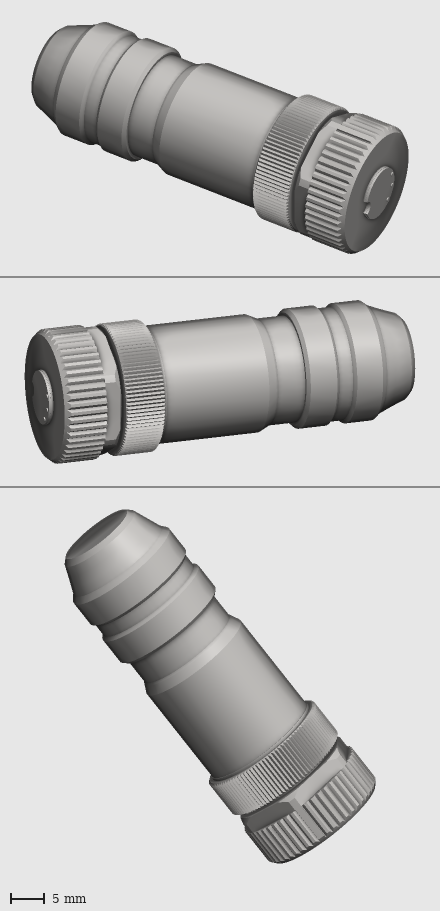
import cadquery as cq
import math

LENGTH = 57.0

END_RADIUS = 5.75
END_CHAMFER = 0.8
END_CHAMFER_RADIUS = 6.55
CONE_END = 5.2
CONE_RADIUS = 8.25
BAND_RADIUS = 9.0
BAND_1_START = 6.1
BAND_1_END = 10.15
BAND_2_START = 13.3
BAND_2_END = 17.45
BAND_CHAMFER = 0.5
GROOVE_RADIUS = 8.5
WAIST_RADIUS = 16.0 / 2
WAIST_END = 22.2
SLEEVE_STEP = 0.35
SLEEVE_STEP_RADIUS = 8.2
SLEEVE_START = 23.9
SLEEVE_RADIUS = 17.7 / 2
LIP_START = 39.95
LIP_RADIUS = 9.0

RING_START = 40.4
RING_END = 46.55
RING_RADIUS = 9.9
RING_CHAMFER_LENGTH = 0.3
RING_CHAMFER_DEPTH = 0.35
RING_TEETH = 100
RING_GROOVE_DEPTH = 0.35

NECK_RADIUS = 15.0 / 2

NUT_START = 47.25
GRIP_START = 49.65
NUT_END = 56.15
NUT_RADIUS = 10.1
HEX_ACROSS_FLATS = 18.0
HEX_CHAMFER_LENGTH = 0.75
HEX_CHAMFER_DEPTH = 0.6
GRIP_CHAMFER_LENGTH = 0.85
GRIP_CHAMFER_DEPTH = 0.7
GRIP_TEETH = 50
GRIP_GROOVE_DEPTH = 0.4
GRIP_RIB_WIDTH = 1.0

INSERT_RADIUS = 4.1
INSERT_STEP = 56.5
INSERT_RELIEF = 0.05
INSERT_END = 56.85
KEYWAY_RADIUS = 1.15

MARK_DIAMETER = 0.7
MARK_CENTRES = [(3.3, 1.3), (2.05, -2.75), (3.3, -0.85)]


def revolve_profile(points):
    """Solid of revolution about X; each point is (x, radius)."""
    outline = [(points[0][0], 0)] + points + [(points[-1][0], 0)]
    return cq.Workplane("XY").polyline(outline).close().revolve(360, (0, 0, 0), (1, 0, 0))


def cylinder(start, end, radius):
    return cq.Workplane("YZ", origin=(start, 0, 0)).circle(radius).extrude(end - start)


def polar(radius, angle):
    return radius * math.cos(angle), radius * math.sin(angle)


def knurled(start, end, radius, teeth, depth):
    """Cylinder with straight V grooves; one groove is at +Y."""
    pitch = 2 * math.pi / teeth
    half_groove = min(depth / radius, pitch / 2)
    points = []
    for i in range(teeth):
        points.append(polar(radius - depth, i * pitch))
        points.append(polar(radius, i * pitch + half_groove))
        if half_groove < pitch / 2:
            points.append(polar(radius, (i + 1) * pitch - half_groove))
    return cq.Workplane("YZ", origin=(start, 0, 0)).polyline(points).close().extrude(end - start)


def rear_shell():
    return revolve_profile([
        (0, END_RADIUS),
        (END_CHAMFER, END_CHAMFER_RADIUS),
        (CONE_END, CONE_RADIUS),
        (BAND_1_START, BAND_RADIUS),
        (BAND_1_END, BAND_RADIUS),
        (BAND_1_END + BAND_CHAMFER, GROOVE_RADIUS),
        (BAND_2_START - BAND_CHAMFER, GROOVE_RADIUS),
        (BAND_2_START, BAND_RADIUS),
        (BAND_2_END, BAND_RADIUS),
        (BAND_2_END + BAND_CHAMFER, BAND_RADIUS - BAND_CHAMFER),
        (BAND_2_END + BAND_CHAMFER, WAIST_RADIUS),
        (WAIST_END, WAIST_RADIUS),
        (WAIST_END + SLEEVE_STEP, SLEEVE_STEP_RADIUS),
        (SLEEVE_START, SLEEVE_RADIUS),
        (LIP_START, SLEEVE_RADIUS),
        (LIP_START, LIP_RADIUS),
        (RING_START, LIP_RADIUS),
    ])


def knurled_ring():
    edge_radius = RING_RADIUS - RING_CHAMFER_DEPTH
    envelope = revolve_profile([
        (RING_START, edge_radius),
        (RING_START + RING_CHAMFER_LENGTH, RING_RADIUS),
        (RING_END - RING_CHAMFER_LENGTH, RING_RADIUS),
        (RING_END, edge_radius),
    ])
    return envelope.intersect(knurled(RING_START, RING_END, RING_RADIUS, RING_TEETH, RING_GROOVE_DEPTH))


def hexagon():
    corner_circle = HEX_ACROSS_FLATS / math.cos(math.pi / 6)
    prism = (
        cq.Workplane("YZ", origin=(NUT_START, 0, 0))
        .transformed(rotate=(0, 0, 90))
        .polygon(6, corner_circle)
        .extrude(GRIP_START - NUT_START)
    )
    envelope = revolve_profile([
        (NUT_START, NUT_RADIUS - HEX_CHAMFER_DEPTH),
        (NUT_START + HEX_CHAMFER_LENGTH, NUT_RADIUS),
        (GRIP_START, NUT_RADIUS),
    ])
    return prism.intersect(envelope)


def knurled_grip():
    envelope = revolve_profile([
        (GRIP_START, NUT_RADIUS),
        (NUT_END - GRIP_CHAMFER_LENGTH, NUT_RADIUS),
        (NUT_END, NUT_RADIUS - GRIP_CHAMFER_DEPTH),
    ])
    teeth = knurled(GRIP_START, NUT_END, NUT_RADIUS, GRIP_TEETH, GRIP_GROOVE_DEPTH)
    ribs = (
        cq.Workplane("YZ", origin=(GRIP_START, 0, 0))
        .rect(GRIP_RIB_WIDTH, 2 * NUT_RADIUS)
        .extrude(NUT_END - GRIP_START)
    )
    return envelope.intersect(teeth.union(ribs))


def contact_insert():
    insert = revolve_profile([
        (NUT_END, INSERT_RADIUS),
        (INSERT_STEP, INSERT_RADIUS),
        (INSERT_STEP, INSERT_RADIUS - INSERT_RELIEF),
        (INSERT_END, INSERT_RADIUS - INSERT_RELIEF),
    ])
    keyway = cylinder(NUT_END, INSERT_END, KEYWAY_RADIUS)
    keyway_relief = cylinder(INSERT_STEP, INSERT_END, KEYWAY_RADIUS + INSERT_RELIEF)
    keyway = keyway.union(keyway_relief).translate((0, -INSERT_RADIUS, 0))
    marks = (
        cq.Workplane("YZ", origin=(NUT_END, 0, 0))
        .pushPoints(MARK_CENTRES)
        .circle(MARK_DIAMETER / 2)
        .extrude(LENGTH - NUT_END)
    )
    return insert.cut(keyway).union(marks)


neck = cylinder(RING_END, NUT_START, NECK_RADIUS)

result = (
    rear_shell()
    .union(knurled_ring())
    .union(neck)
    .union(hexagon())
    .union(knurled_grip())
    .union(contact_insert())
)